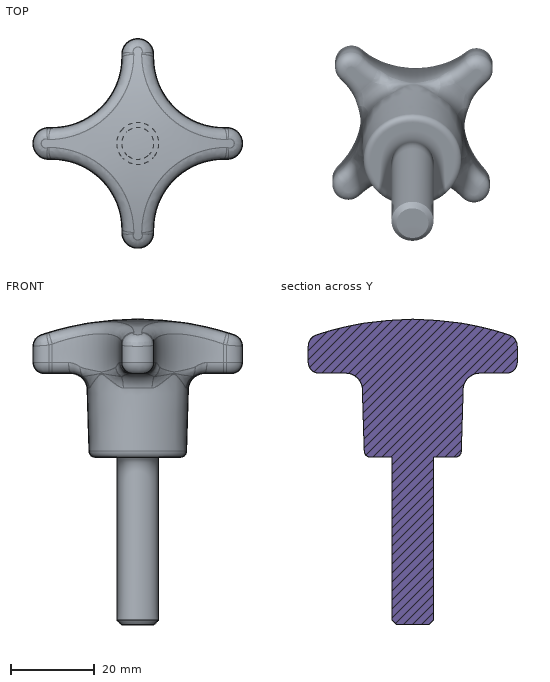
import cadquery as cq
import math

head_span = 50.0
arm_count = 4
arm_pitch = 360 / arm_count
arm_width = 7.6
arm_half_width = arm_width / 2
arm_end_center = head_span / 2 - arm_half_width
waist_radius = 16.6
waist_center = arm_half_width + waist_radius
waist_center_distance = waist_center * math.sqrt(2)
waist_mid = (waist_center_distance - waist_radius) * math.sqrt(0.5)
crown_height = 33.0
crown_radius = 72.0
crown_fillet = 2.9
underside_height = 20.0
underside_fillet = 2.6

hub_foot_radius = 11.6
hub_top_radius = 12.2
hub_taper = (hub_top_radius - hub_foot_radius) / underside_height
hub_foot_fillet = 1.5

blend_radius = 3.9
blend_overlap = 0.01
blend_steps = 8
core_radius = hub_foot_radius - 2 * hub_foot_fillet

stud_diameter = 10.0
stud_length = 40.0
stud_chamfer = 1.2

cut_margin = 1.0
rim_tolerance = 0.1


def turned(x, y, degrees):
    """Point (x, y) turned about the axis."""
    angle = math.radians(degrees)
    return (
        x * math.cos(angle) - y * math.sin(angle),
        x * math.sin(angle) + y * math.cos(angle),
    )


def star_prism(height):
    """Round-ended arms joined by concave waists tangent to the arm sides."""
    outline = cq.Workplane("XY").moveTo(arm_end_center, -arm_half_width)
    for arm in range(arm_count):
        angle = arm * arm_pitch
        outline = outline.threePointArc(
            turned(head_span / 2, 0, angle),
            turned(arm_end_center, arm_half_width, angle),
        )
        outline = outline.lineTo(*turned(waist_center, arm_half_width, angle))
        outline = outline.threePointArc(
            turned(waist_mid, waist_mid, angle),
            turned(arm_half_width, waist_center, angle),
        )
        outline = outline.lineTo(*turned(arm_half_width, arm_end_center, angle))
    return outline.close().extrude(height)


def crowned_star():
    """Star prism under a spherical crown, with its upper edge rounded."""
    prism = star_prism(crown_height + cut_margin)
    crown = (
        cq.Workplane("XY")
        .sphere(crown_radius)
        .rotate((0, 0, 0), (0, 1, 0), 90)
        .translate((0, 0, crown_height - crown_radius))
    )
    return prism.intersect(crown).faces(">Z").edges().fillet(crown_fillet)


def full_blend_angle():
    """Angle from the arm's middle where the waist wall is one blend radius off the hub."""
    wall = hub_top_radius + blend_radius
    cosine = (wall**2 + waist_center_distance**2 - waist_radius**2) / (2 * wall * waist_center_distance)
    return arm_pitch / 2 - math.degrees(math.acos(cosine))


def waist_gap(angle):
    """Radial gap between hub and waist wall, at an angle from the arm's middle."""
    off_waist = math.radians(arm_pitch / 2 - abs(angle))
    half_chord = math.sqrt(waist_radius**2 - (waist_center_distance * math.sin(off_waist)) ** 2)
    return waist_center_distance * math.cos(off_waist) - half_chord - hub_top_radius


def undercut_section(angle, gap):
    """Radial section of the space below an arm; its arc meets the underside at the gap."""
    arc_z = underside_height - math.sqrt(blend_radius**2 - (blend_radius - gap) ** 2)
    hub_radius = hub_foot_radius + hub_taper * arc_z
    arc_start = hub_radius - blend_overlap
    arc_center = arc_start + blend_radius
    arc_reach = blend_radius * math.sqrt(0.5)

    def point(radius, z):
        return cq.Vector(*turned(radius, 0, angle), z)

    core_foot = point(core_radius, -cut_margin)
    core_top = point(core_radius, arc_z)
    arc_foot = point(arc_start, arc_z)
    arc_mid = point(arc_center - arc_reach, arc_z + arc_reach)
    arc_top = point(arc_center, arc_z + blend_radius)
    outer_top = point(head_span, arc_z + blend_radius)
    outer_foot = point(head_span, -cut_margin)
    return cq.Wire.assembleEdges([
        cq.Edge.makeLine(core_foot, core_top),
        cq.Edge.makeLine(core_top, arc_foot),
        cq.Edge.makeThreePointArc(arc_foot, arc_mid, arc_top),
        cq.Edge.makeLine(arc_top, outer_top),
        cq.Edge.makeLine(outer_top, outer_foot),
        cq.Edge.makeLine(outer_foot, core_foot),
    ])


def arm_undercut():
    """Space below one arm; its blend is full at the arm and fades out towards each waist."""
    start = full_blend_angle()
    step = (arm_pitch / 2 - start) / blend_steps
    angles = [start + step * index for index in range(1, blend_steps + 1)]
    parts = [
        cq.Solid.revolve(
            cq.Face.makeFromWires(undercut_section(-start, blend_radius)),
            2 * start,
            cq.Vector(0, 0, 0),
            cq.Vector(0, 0, 1),
        )
    ]
    for side in (1, -1):
        sections = [undercut_section(side * start, blend_radius)]
        sections += [undercut_section(side * angle, waist_gap(angle)) for angle in angles]
        parts.append(cq.Solid.makeLoft(sections))
    return parts


def undercut_star():
    """Crowned star reduced to its arms, the hub blend and a core inside the hub."""
    star = crowned_star()
    for arm in range(arm_count):
        for part in arm_undercut():
            star = star.cut(cq.Workplane(part).rotate((0, 0, 0), (0, 0, 1), arm * arm_pitch))
    return star


def make_hub():
    """Tapered hub with a rounded foot."""
    return (
        cq.Workplane("XZ")
        .polyline([(0, 0), (hub_foot_radius, 0), (hub_top_radius, underside_height), (0, underside_height)])
        .close()
        .revolve(360, (0, 0), (0, 1))
        .faces("<Z")
        .edges()
        .fillet(hub_foot_fillet)
    )


def round_underside(star):
    """Round the lower rim of the arms."""
    rim = star.edges(
        cq.selectors.BoxSelector(
            (-head_span, -head_span, underside_height - rim_tolerance),
            (head_span, head_span, underside_height + rim_tolerance),
            boundingbox=True,
        )
    )
    return rim.fillet(underside_fillet)


def make_stud():
    """Plain stud hanging below the hub, chamfered at its tip."""
    return (
        cq.Workplane("XY")
        .circle(stud_diameter / 2)
        .extrude(-stud_length)
        .faces("<Z")
        .chamfer(stud_chamfer)
    )


knob = round_underside(undercut_star())
result = knob.union(make_hub()).union(make_stud())